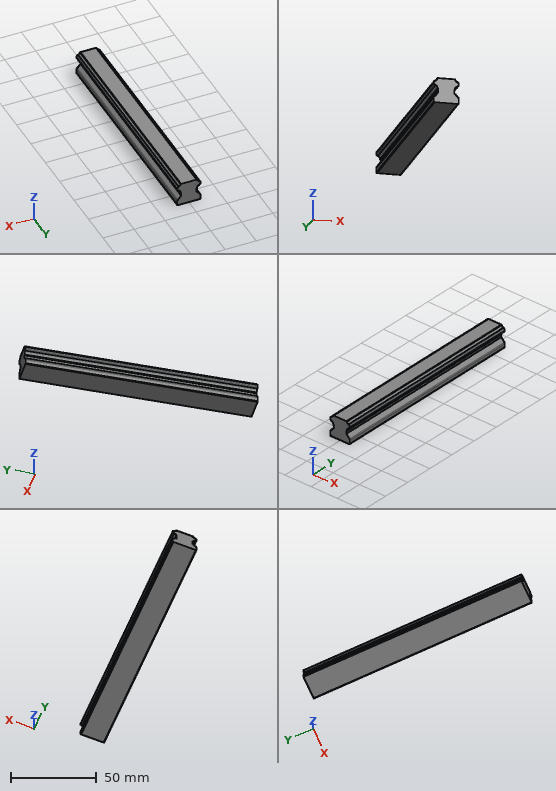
import cadquery as cq
import math

rail_width = 15.0
rail_height = 15.0
rail_length = 140.0
half_width = rail_width / 2

base_chamfer = 0.4
flange_blend_radius = 1.2
flange_side_top = 3.05

web_half_width = 4.88
web_bottom = 6.35
web_top = 8.15

nose_height = 12.0
nose_radius = 0.4
nose_flat_half_height = 0.45
lip_half_width = 6.9
groove_outer_offset = 1.5
groove_outer_half_width = 6.55
groove_inner_offset = 2.9
groove_inner_half_width = 5.3
groove_sagitta = 0.28
neck_step_height = 8.65
top_half_width = 5.0


def groove_middle(side):
    """Middle point of a ball groove arc; side is 1 above the nose, -1 below it."""
    rise = groove_inner_offset - groove_outer_offset
    run = groove_outer_half_width - groove_inner_half_width
    chord = math.hypot(run, rise)
    x = (groove_inner_half_width + groove_outer_half_width) / 2 - groove_sagitta * rise / chord
    offset = (groove_inner_offset + groove_outer_offset) / 2 - groove_sagitta * run / chord
    return x, nose_height + side * offset


def corner_arc(radius, start_height, side):
    """Middle and 45 degree end of a round that starts on the vertical side of the rail.

    It curves upward when side is 1 and downward when side is -1.
    """
    return [
        (
            half_width - radius * (1 - math.cos(angle)),
            start_height + side * radius * math.sin(angle),
        )
        for angle in (math.pi / 8, math.pi / 4)
    ]


def half_section():
    """Right half of the rail section, closed along the centre plane."""
    nose_bottom = nose_height - nose_flat_half_height
    nose_top = nose_height + nose_flat_half_height
    blend_middle, blend_end = corner_arc(flange_blend_radius, flange_side_top, 1)
    lower_middle, lower_end = corner_arc(nose_radius, nose_bottom, -1)
    upper_middle, upper_end = corner_arc(nose_radius, nose_top, 1)
    bevel_run = upper_end[0] - lip_half_width
    return (
        cq.Workplane("XZ")
        .moveTo(0, 0)
        .lineTo(half_width - base_chamfer, 0)
        .lineTo(half_width, base_chamfer)
        .lineTo(half_width, flange_side_top)
        .threePointArc(blend_middle, blend_end)
        .lineTo(web_half_width, web_bottom)
        .lineTo(web_half_width, web_top)
        .lineTo(groove_inner_half_width, neck_step_height)
        .lineTo(groove_inner_half_width, nose_height - groove_inner_offset)
        .threePointArc(groove_middle(-1), (groove_outer_half_width, nose_height - groove_outer_offset))
        .lineTo(lip_half_width, lower_end[1] - bevel_run)
        .lineTo(*lower_end)
        .threePointArc(lower_middle, (half_width, nose_bottom))
        .lineTo(half_width, nose_top)
        .threePointArc(upper_middle, upper_end)
        .lineTo(lip_half_width, upper_end[1] + bevel_run)
        .lineTo(groove_outer_half_width, nose_height + groove_outer_offset)
        .threePointArc(groove_middle(1), (groove_inner_half_width, nose_height + groove_inner_offset))
        .lineTo(top_half_width, rail_height)
        .lineTo(0, rail_height)
        .close()
    )


half_rail = half_section().extrude(rail_length / 2, both=True)
result = half_rail.union(half_rail.mirror("YZ")).clean()